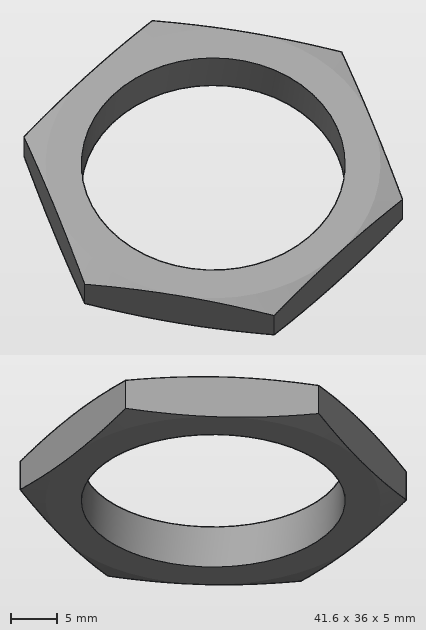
import cadquery as cq
import math

across_corners = 41.55
thickness = 5.0
bore_diameter = 28.35
chamfer_angle = 15.0

corner_radius = across_corners / 2
flat_radius = corner_radius * math.cos(math.radians(30))
chamfer_drop = (corner_radius - flat_radius) * math.tan(math.radians(chamfer_angle))


def hex_blank():
    """Hexagonal plate centred on the origin, with two corners on the X axis."""
    return cq.Workplane("XY").polygon(6, across_corners).extrude(thickness / 2, both=True)


def chamfer_envelope():
    """Round body whose conical ends leave a circular face touching the flats."""
    half_thickness = thickness / 2
    cone_base = half_thickness - chamfer_drop
    profile = [
        (0, -half_thickness),
        (flat_radius, -half_thickness),
        (corner_radius, -cone_base),
        (corner_radius, cone_base),
        (flat_radius, half_thickness),
        (0, half_thickness),
    ]
    return cq.Workplane("XZ").polyline(profile).close().revolve(360, (0, 0, 0), (0, 1, 0))


def bore():
    """Plain through bore."""
    return cq.Workplane("XY").circle(bore_diameter / 2).extrude(thickness, both=True)


result = hex_blank().intersect(chamfer_envelope()).cut(bore())